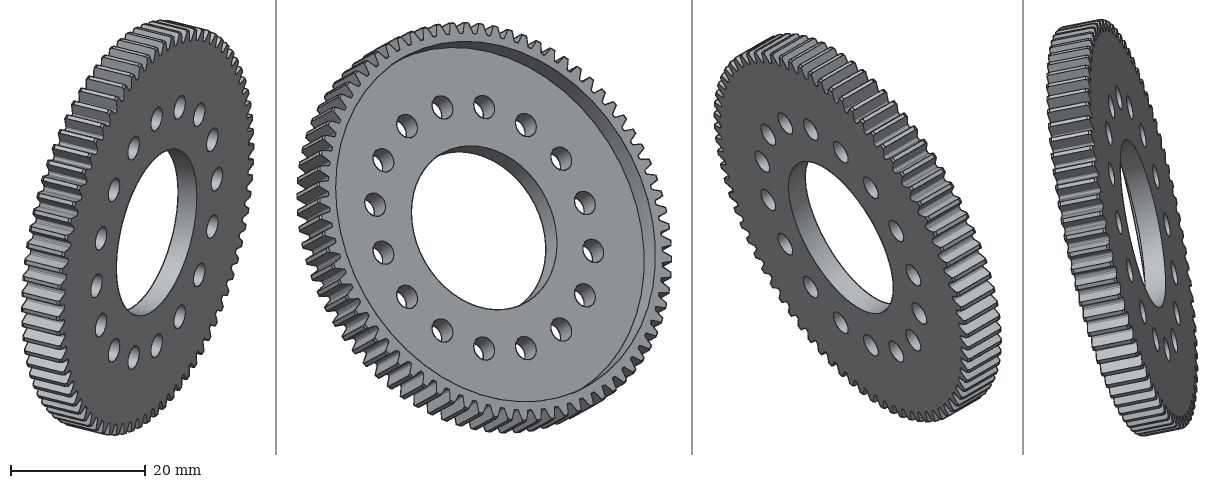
import cadquery as cq
import math

INCH = 25.4

DIAMETRAL_PITCH = 32
TOOTH_COUNT = 76
PRESSURE_ANGLE = math.radians(20)
MODULE = INCH / DIAMETRAL_PITCH
PITCH_RADIUS = MODULE * TOOTH_COUNT / 2
TIP_RADIUS = PITCH_RADIUS + MODULE
ROOT_RADIUS = PITCH_RADIUS - 1.25 * MODULE
BASE_RADIUS = PITCH_RADIUS * math.cos(PRESSURE_ANGLE)
ROOT_FILLET = 0.2
TIP_CHAMFER_LENGTH = 0.35
TIP_CHAMFER_DEPTH = 0.2

FACE_WIDTH = INCH / 4
WEB_THICKNESS = INCH / 8
RECESS_DIAMETER = 2.2 * INCH
BORE_DIAMETER = INCH
RECESSED_FACE_X = -FACE_WIDTH / 2

HOLE_COUNT = 16
HOLE_CIRCLE_DIAMETER = 1.5 * INCH
HOLE_DIAMETER = 3.6


def involute(angle):
    return math.tan(angle) - angle


def gap_half_angle(radius):
    """Half the angle between two neighbouring involute flanks at the given radius."""
    flank_angle = math.acos(BASE_RADIUS / radius)
    pitch_half_angle = math.pi / (2 * TOOTH_COUNT)
    return pitch_half_angle + involute(flank_angle) - involute(PRESSURE_ANGLE)


def axial_plane():
    """Sketch plane on the recessed face, looking along +X."""
    return cq.Workplane("YZ", origin=(RECESSED_FACE_X, 0, 0))


def axial_cylinder(diameter, length):
    return axial_plane().circle(diameter / 2).extrude(length)


def chamfered_blank():
    """Tip cylinder, beveled around both ends."""
    half_width = FACE_WIDTH / 2
    shoulder = half_width - TIP_CHAMFER_LENGTH
    bevel_radius = TIP_RADIUS - TIP_CHAMFER_DEPTH
    half_section = [
        (-half_width, 0),
        (-half_width, bevel_radius),
        (-shoulder, TIP_RADIUS),
        (shoulder, TIP_RADIUS),
        (half_width, bevel_radius),
        (half_width, 0),
    ]
    return cq.Workplane("XY").polyline(half_section).close().revolve(360, (0, 0), (1, 0))


def tooth_gap(angle):
    """Straight-sided gap with a filleted root, turned to the given angle in degrees.

    Each side is the chord of the involute flank, carried on past the tip.
    """
    root_half_angle = gap_half_angle(ROOT_RADIUS)
    tip_half_angle = gap_half_angle(TIP_RADIUS)
    root_half_width = ROOT_RADIUS * math.sin(root_half_angle)
    tip_half_width = TIP_RADIUS * math.sin(tip_half_angle)
    tip_height = TIP_RADIUS * math.cos(tip_half_angle)
    side_slope = (tip_half_width - root_half_width) / (tip_height - ROOT_RADIUS)
    outer_radius = TIP_RADIUS + MODULE
    outer_half_width = root_half_width + side_slope * (outer_radius - ROOT_RADIUS)

    outline = [
        (-root_half_width, ROOT_RADIUS),
        (root_half_width, ROOT_RADIUS),
        (outer_half_width, outer_radius),
        (-outer_half_width, outer_radius),
    ]
    gap = axial_plane().polyline(outline).close().extrude(FACE_WIDTH)
    gap = gap.faces("<Z").edges("|X").fillet(ROOT_FILLET)
    return gap.rotate((0, 0, 0), (1, 0, 0), angle)


def tooth_gaps():
    """All gaps, placed so that a tooth is centred on +Z."""
    tooth_angle = 360 / TOOTH_COUNT
    first_gap = tooth_gap(tooth_angle / 2).val()
    gaps = [first_gap.rotate((0, 0, 0), (1, 0, 0), i * tooth_angle) for i in range(TOOTH_COUNT)]
    return cq.Workplane(cq.Compound.makeCompound(gaps))


def mounting_holes():
    places = axial_plane().polarArray(HOLE_CIRCLE_DIAMETER / 2, 0, 360, HOLE_COUNT)
    return places.circle(HOLE_DIAMETER / 2).extrude(FACE_WIDTH)


recess = axial_cylinder(RECESS_DIAMETER, FACE_WIDTH - WEB_THICKNESS)
bore = axial_cylinder(BORE_DIAMETER, FACE_WIDTH)

gear = chamfered_blank().cut(tooth_gaps())
result = gear.cut(recess).cut(bore).cut(mounting_holes())